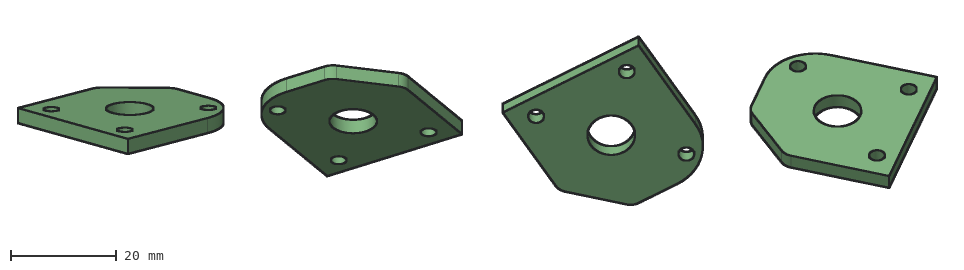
import cadquery as cq
import math

width = 30.0
depth = 31.0
thickness = 3.0

bevel_flat_length = 12.0
bevel_blend_radius = 3.0
bevel_angle = math.radians(45)
round_corner_radius = 10.0

bore_diameter = 9.0
bore_center = (0, 0)
bore_from_front = 15.0
screw_diameter = 3.0
screw_side_inset = 5.0
screw_front_inset = 4.0
screw_rear_inset = 5.0

blend_tangent = bevel_blend_radius * math.tan(bevel_angle / 2)
bevel_leg = (bevel_flat_length + 2 * blend_tangent) * math.cos(bevel_angle)

left = -width / 2
right = width / 2
front = -bore_from_front
rear = front + depth


def make_plate():
    """Plate with a blended 45 degree bevel at rear left and a rounded rear right corner."""
    plate = (
        cq.Workplane("XY")
        .moveTo(left, front)
        .lineTo(right, front)
        .lineTo(right, rear)
        .lineTo(left + bevel_leg, rear)
        .lineTo(left, rear - bevel_leg)
        .close()
        .extrude(thickness)
    )
    bevel_corners = [(left + bevel_leg, rear), (left, rear - bevel_leg)]
    for x, y in bevel_corners:
        nearest = cq.selectors.NearestToPointSelector((x, y, thickness / 2))
        plate = plate.edges("|Z").edges(nearest).fillet(bevel_blend_radius)
    return plate.edges("|Z and >X and >Y").fillet(round_corner_radius)


def drill(plate, points, diameter):
    """Cut vertical through holes of one diameter at the given points."""
    drills = cq.Workplane("XY").pushPoints(points).circle(diameter / 2).extrude(thickness)
    return plate.cut(drills)


screw_points = [
    (left + screw_side_inset, front + screw_front_inset),
    (right - screw_side_inset, front + screw_front_inset),
    (right - screw_side_inset, rear - screw_rear_inset),
]

result = drill(make_plate(), [bore_center], bore_diameter)
result = drill(result, screw_points, screw_diameter)